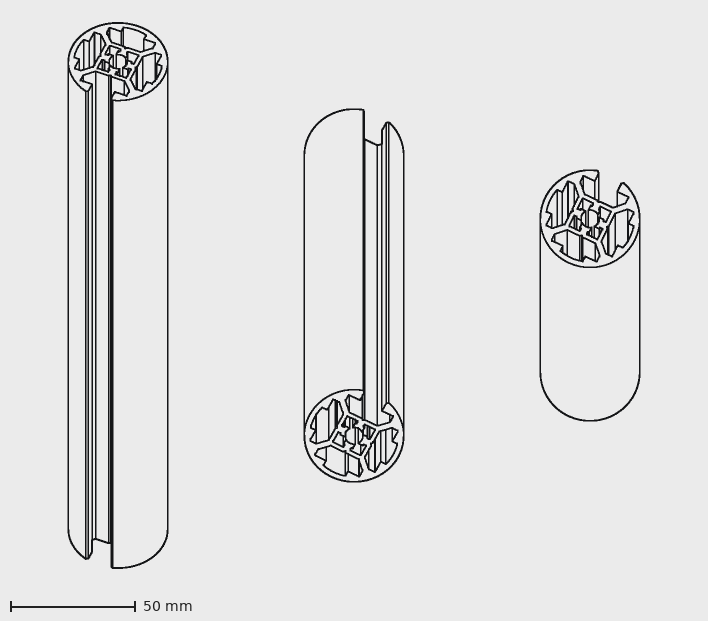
import cadquery as cq

length = 300.0
outer_diameter = 40.0
outer_radius = outer_diameter / 2

slot_width = 20.0
lip_face = 14.7
mouth_width = 10.0
mouth_chamfer = 1.0
closing_wall = 2.25
core_width = 16.2
web_half_offset = 1.8

groove_half_width = 0.5
groove_depth = 0.5

cavity_width = 12.5
bore_radius = 3.5
rib_half_width = 1.5
rib_head_half_width = 2.0
rib_head_back = 5.0

SIDE_ANGLES = (0, 90, 180, 270)
OPEN_SIDE_ANGLE = 0


def cylinder(radius):
    return cq.Workplane("XY").circle(radius).extrude(length)


def slot_cutter():
    """T-slot pointing to -Y, with a grooved floor and a mouth reaching the outer surface."""
    half_outline = [
        (groove_half_width, -core_width / 2),
        (core_width / 2 - web_half_offset, -core_width / 2),
        (slot_width / 2, -slot_width / 2 - web_half_offset),
        (slot_width / 2, -lip_face),
        (mouth_width / 2, -lip_face),
        (mouth_width / 2, -outer_radius),
    ]
    mirrored_outline = [(-x, y) for x, y in reversed(half_outline)]
    groove_bottom = [(0, groove_depth - core_width / 2)]
    outline = groove_bottom + half_outline + mirrored_outline
    return cq.Workplane("XY").polyline(outline).close().extrude(length)


def block(half_width, near, far):
    """Full-length block on the -Y side, spanning the distances near to far from the axis."""
    return (
        cq.Workplane("XY")
        .center(0, -(near + far) / 2)
        .rect(2 * half_width, far - near)
        .extrude(length)
    )


def screw_rib():
    """T-shaped rib growing inward from the -Y cavity wall; the bore makes its tip concave."""
    stem = block(rib_half_width, bore_radius, cavity_width / 2)
    head = block(rib_head_half_width, bore_radius / 2, rib_head_back)
    return stem.union(head).cut(cylinder(bore_radius))


def turned(shape, angle):
    return shape.rotate((0, 0, 0), (0, 0, 1), angle)


profile = cylinder(outer_radius)
closed_slot_limit = cylinder(outer_radius - closing_wall)
for angle in SIDE_ANGLES:
    slot = turned(slot_cutter(), angle)
    if angle != OPEN_SIDE_ANGLE:
        slot = slot.intersect(closed_slot_limit)
    profile = profile.cut(slot)

mouth_corner_y = -((outer_radius**2 - (mouth_width / 2) ** 2) ** 0.5)
for side in (-1, 1):
    mouth_edge = cq.selectors.NearestToPointSelector((side * mouth_width / 2, mouth_corner_y, length / 2))
    profile = profile.edges("|Z").edges(mouth_edge).chamfer(mouth_chamfer)

cavity = cq.Workplane("XY").rect(cavity_width, cavity_width).extrude(length)
for angle in SIDE_ANGLES:
    cavity = cavity.cut(turned(screw_rib(), angle))

result = profile.cut(cavity)